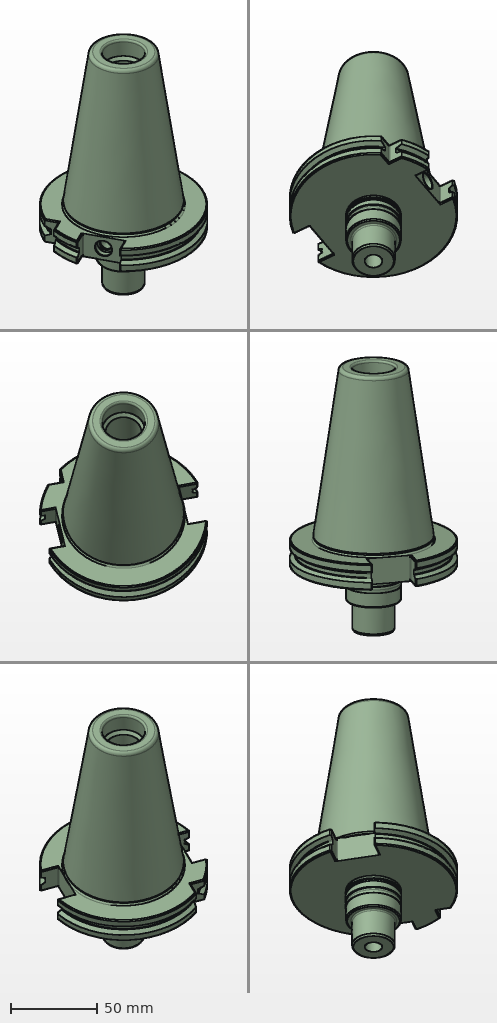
import cadquery as cq
import math


total_length = 160.1
taper_length = 101.8
gauge_diameter = 70.0
taper_ratio = 7 / 24
taper_tip_fillet = 2.4
taper_top_radius = (gauge_diameter - taper_ratio * taper_length) / 2

taper_overrun = 1.0
neck_radius = gauge_diameter / 2 - 0.3
neck_flare = 1.1

flange_diameter = 97.5
flange_gap = 3.2
flange_thickness = 15.8
flange_chamfer = 0.72
flange_radius = flange_diameter / 2
flange_top = -flange_gap
flange_bottom = flange_top - flange_thickness
flange_middle = (flange_top + flange_bottom) / 2

groove_height = 8.0
groove_floor_radius = 45.6
groove_floor_width = 3.0
groove_flank_angle = 30.0
groove_corner_fillet = 0.5
groove_cutter_overshoot = 1.6

edge_tolerance = 0.2
slot_width = 25.6
front_slot_floor = 37.5
back_slot_floor = 35.5
notch_wall = 30.0
slot_rim_chamfer = 0.8
corner_fillet = 0.5

side_hole_diameter = 10.0
side_hole_depth = 4.0
side_hole_chamfer = 0.3
side_pilot_diameter = 7.0
side_pilot_depth = 1.6
drill_point_angle = 118.0

spigot_radius = 32.5 / 2
spigot_relief_radius = 32 / 2
root_relief_length = 1.0
ring_groove_radius = 15.7
ring_groove_start = 2.0
ring_groove_end = 3.5
ring_groove_chamfer = 0.3
collar_end = 7.8
collar_groove_end = 8.3
collar_cone_end = 9.8
land_end = 12.0
spigot_end = 21.1
spigot_chamfer = 0.8

tip_radius = 25.0 / 2
tip_root_flare = 0.8
tip_chamfer_length = 1.3
tip_chamfer_width = 0.8
tip_end = total_length - taper_length + flange_bottom

mouth_diameter = 25.0
mouth_fillet = 1.3
mouth_depth = 11.0
thread_diameter = 20.8
thread_depth = 60.8
through_diameter = 10.1
mouth_cone_length = 2.0


def below(distance):
    """Height of a point the given distance below the flange bottom."""
    return flange_bottom - distance


def cone_length(large_diameter, small_diameter):
    """Length of a drill-point cone between two diameters."""
    return (large_diameter - small_diameter) / 2 / math.tan(math.radians(drill_point_angle / 2))


def make_taper():
    """Solid taper with a rounded tip and a flared neck down to the flange."""
    taper_base_z = -taper_overrun
    taper_base_radius = (gauge_diameter + taper_ratio * taper_overrun) / 2
    flare_radius = neck_radius + neck_flare
    outline = (
        cq.Workplane("XZ")
        .moveTo(0, flange_top)
        .lineTo(flare_radius, flange_top)
        .radiusArc((neck_radius, flange_top + neck_flare), neck_flare)
        .lineTo(taper_base_radius, taper_base_z)
        .lineTo(taper_top_radius, taper_length)
        .lineTo(0, taper_length)
        .close()
    )
    taper = outline.revolve(360, (0, 0, 0), (0, 1, 0))
    return taper.edges(">Z").fillet(taper_tip_fillet)


def make_flange_blank():
    """Disc with drive slots and notch cut out and their outer edges broken."""
    blank = cq.Workplane("XY", origin=(0, 0, flange_bottom)).circle(flange_radius).extrude(flange_thickness)
    for floor, side in ((front_slot_floor, -1), (back_slot_floor, 1)):
        slot = (
            cq.Workplane("XY", origin=(0, side * (floor + flange_radius / 2), flange_bottom))
            .rect(slot_width, flange_radius)
            .extrude(flange_thickness)
        )
        blank = blank.cut(slot)
    notch_center = -(notch_wall + flange_radius / 2)
    notch = (
        cq.Workplane("XY", origin=(notch_center, notch_center, flange_bottom))
        .rect(flange_radius, flange_radius)
        .extrude(flange_thickness)
    )
    blank = blank.cut(notch)

    def is_face_edge(edge):
        """Edges of the top and bottom faces, except those along the slot floors."""
        center = edge.Center()
        return abs(center.z - flange_middle) > edge_tolerance and abs(center.x) > edge_tolerance

    def is_slot_rim(edge):
        """Upright edges where the slot walls meet the rim."""
        center = edge.Center()
        return abs(center.x) < slot_width and math.hypot(center.x, center.y) > flange_radius - edge_tolerance

    def is_inner_corner(edge):
        """Upright edges at the inner corners of the slots and the notch."""
        center = edge.Center()
        return math.hypot(center.x, center.y) < groove_floor_radius

    blank = blank.edges("|Z").filter(is_slot_rim).chamfer(slot_rim_chamfer)
    blank = blank.edges().filter(is_face_edge).chamfer(flange_chamfer)
    return blank.edges("|Z").filter(is_inner_corner).fillet(corner_fillet)


def make_rim_groove():
    """Ring that cuts the trapezoidal groove, rounded where flanks meet the floor."""
    center_z = flange_bottom + groove_height
    outer_radius = flange_radius + groove_cutter_overshoot
    flank_slope = math.tan(math.radians(groove_flank_angle))
    floor_half = groove_floor_width / 2
    mouth_half = floor_half + (outer_radius - groove_floor_radius) * flank_slope
    ring = (
        cq.Workplane("XZ", origin=(0, 0, center_z))
        .moveTo(groove_floor_radius, -floor_half)
        .lineTo(outer_radius, -mouth_half)
        .lineTo(outer_radius, mouth_half)
        .lineTo(groove_floor_radius, floor_half)
        .close()
        .revolve(360, (0, 0, 0), (0, 1, 0))
    )
    corners = cq.selectors.RadiusNthSelector(0)
    return ring.edges(corners).fillet(groove_corner_fillet)


def make_spigot():
    """Stepped spigot and tip, turned in one piece."""
    groove_top = below(ring_groove_start)
    groove_base = below(ring_groove_end)
    flare_top = below(spigot_end)
    outline = (
        cq.Workplane("XZ")
        .moveTo(0, below(0))
        .lineTo(spigot_relief_radius, below(0))
        .lineTo(spigot_radius, below(root_relief_length))
        .lineTo(spigot_radius, groove_top)
        .lineTo(ring_groove_radius, groove_top - ring_groove_chamfer)
        .lineTo(ring_groove_radius, groove_base)
        .lineTo(spigot_radius, groove_base - ring_groove_chamfer)
        .lineTo(spigot_radius, below(collar_end))
        .lineTo(spigot_relief_radius, below(collar_groove_end))
        .lineTo(spigot_radius, below(collar_cone_end))
        .lineTo(spigot_radius, below(land_end))
        .lineTo(spigot_relief_radius, below(land_end))
        .lineTo(spigot_relief_radius, flare_top + spigot_chamfer)
        .lineTo(spigot_relief_radius - spigot_chamfer, flare_top)
        .lineTo(tip_radius + tip_root_flare, flare_top)
        .radiusArc((tip_radius, flare_top - tip_root_flare), -tip_root_flare)
        .lineTo(tip_radius, below(tip_end) + tip_chamfer_length)
        .lineTo(tip_radius - tip_chamfer_width, below(tip_end))
        .lineTo(0, below(tip_end))
        .close()
    )
    return outline.revolve(360, (0, 0, 0), (0, 1, 0))


def make_bore():
    """Axial bore: rounded mouth, thread hole with drill point, and a through hole."""
    mouth_radius = mouth_diameter / 2
    thread_radius = thread_diameter / 2
    through_radius = through_diameter / 2
    mouth_floor = taper_length - mouth_depth
    thread_floor = taper_length - thread_depth
    outline = (
        cq.Workplane("XZ")
        .moveTo(0, taper_length)
        .lineTo(mouth_radius + mouth_fillet, taper_length)
        .radiusArc((mouth_radius, taper_length - mouth_fillet), -mouth_fillet)
        .lineTo(mouth_radius, mouth_floor)
        .lineTo(thread_radius, mouth_floor - mouth_cone_length)
        .lineTo(thread_radius, thread_floor)
        .lineTo(through_radius, thread_floor - cone_length(thread_diameter, through_diameter))
        .lineTo(through_radius, below(tip_end))
        .lineTo(0, below(tip_end))
        .close()
    )
    return outline.revolve(360, (0, 0, 0), (0, 1, 0))


def make_side_hole():
    """Counterbored blind hole running inward from the front slot floor."""
    counterbore_radius = side_hole_diameter / 2
    pilot_radius = side_pilot_diameter / 2
    pilot_end = side_hole_depth + side_pilot_depth
    outline = (
        cq.Workplane("XY", origin=(0, -front_slot_floor, flange_bottom + groove_height))
        .lineTo(counterbore_radius + side_hole_chamfer, 0)
        .lineTo(counterbore_radius, side_hole_chamfer)
        .lineTo(counterbore_radius, side_hole_depth)
        .lineTo(pilot_radius, side_hole_depth)
        .lineTo(pilot_radius, pilot_end)
        .lineTo(0, pilot_end + cone_length(side_pilot_diameter, 0))
        .close()
    )
    return outline.revolve(360, (0, 0, 0), (0, 1, 0))


flange = make_flange_blank().cut(make_rim_groove())
body = make_taper().union(flange).union(make_spigot())
result = body.cut(make_bore()).cut(make_side_hole())